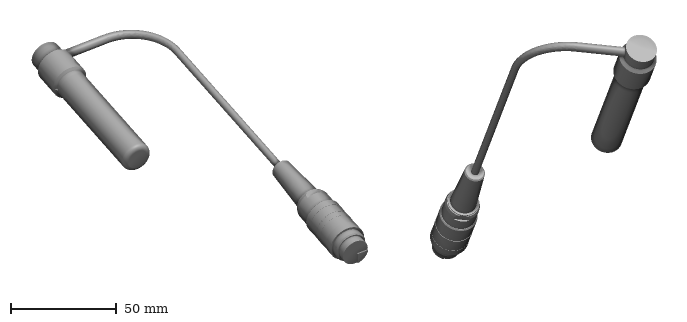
import cadquery as cq
import math

barrel_length = 86.3
barrel_diameter = 15.0
barrel_tip_fillet = 2.4

collar_diameter = 18.0
collar_cone_start = 6.9
collar_start = 8.5
collar_end = 22.8
collar_cone_end = 24.0
collar_blend_end = 26.3
collar_blend_rise = 0.2

indicator_diameter = 1.5
indicator_depth = 1.2

cable_x = 4.7
cable_start_diameter = 4.5
cable_end_diameter = 3.7
cable_bend_radius = 25.0

plug_y = 55.0
boot_start = 126.0
boot_start_diameter = 9.8
boot_end_diameter = 12.8
boot_edge_chamfer = 0.5

shell_start = 153.8
shell_rim_diameter = 15.0
shell_cone_start = 154.5
shell_cone_start_diameter = 15.7
shell_cone_end = 156.2
shell_diameter = 16.9
shell_flat_end = 158.0
shell_flat_spacing = shell_rim_diameter

sleeve_start = 164.8
sleeve_end = 188.0
sleeve_diameter = 18.5
sleeve_edge_chamfer = 0.5
band_diameter = 18.2
rear_band_start = 169.3
front_band_start = 178.1
front_band_end = 183.8
joint_groove_start = 174.6
joint_groove_end = 175.2
joint_groove_diameter = 18.0

nose_diameter = 16.0
nose_end = 191.7
nose_edge_chamfer = 0.5
tip_diameter = 13.5
tip_end = 195.6
key_end = 196.2
key_inset = 1.0


def disc_section(start, end, diameter, y=0.0):
    """Cylinder along X between two stations."""
    return cq.Workplane("YZ", origin=(start, y, 0)).circle(diameter / 2).extrude(end - start)


def cone_section(start, end, start_diameter, end_diameter, y=0.0):
    """Truncated cone along X between two stations."""
    profile = (
        cq.Workplane("XY")
        .moveTo(start, y)
        .lineTo(start, y + start_diameter / 2)
        .lineTo(end, y + end_diameter / 2)
        .lineTo(end, y)
        .close()
    )
    return profile.revolve(360, (start, y, 0), (end, y, 0))


def make_barrel():
    """Barrel and collar, with a concave blend ahead of the collar."""
    barrel = disc_section(0, barrel_length, barrel_diameter).faces(">X").edges().fillet(barrel_tip_fillet)

    barrel_radius = barrel_diameter / 2
    collar_radius = collar_diameter / 2
    collar = (
        cq.Workplane("XY")
        .moveTo(collar_cone_start, 0)
        .lineTo(collar_cone_start, barrel_radius)
        .lineTo(collar_start, collar_radius)
        .lineTo(collar_end, collar_radius)
        .lineTo(collar_cone_end, barrel_radius + collar_blend_rise)
        .threePointArc(
            ((collar_cone_end + collar_blend_end) / 2, barrel_radius + collar_blend_rise / 4),
            (collar_blend_end, barrel_radius),
        )
        .lineTo(collar_blend_end, 0)
        .close()
        .revolve(360, (0, 0, 0), (1, 0, 0))
    )

    indicator_hole = (
        cq.Workplane("XZ", origin=(collar_cone_end, -barrel_radius + indicator_depth, 0))
        .circle(indicator_diameter / 2)
        .extrude(collar_radius)
    )
    return barrel.union(collar).cut(indicator_hole)


def make_cable():
    """Straight lead, tapering quarter bend and straight run into the plug."""
    bend_start_y = plug_y - cable_bend_radius
    bend_end_x = cable_x + cable_bend_radius

    lead = cq.Workplane("XZ").center(cable_x, 0).circle(cable_start_diameter / 2).extrude(-bend_start_y)

    bend_offset = cable_bend_radius * math.cos(math.radians(45))
    bend_path = (
        cq.Workplane("XY")
        .moveTo(cable_x, bend_start_y)
        .threePointArc((bend_end_x - bend_offset, bend_start_y + bend_offset), (bend_end_x, plug_y))
    )
    bend_start_plane = cq.Plane((cable_x, bend_start_y, 0), xDir=(1, 0, 0), normal=(0, 1, 0))
    bend = (
        cq.Workplane(bend_start_plane)
        .circle(cable_start_diameter / 2)
        .transformed(rotate=(0, 90, 0), offset=(cable_bend_radius, 0, cable_bend_radius))
        .circle(cable_end_diameter / 2)
        .sweep(bend_path, multisection=True)
    )

    run = disc_section(bend_end_x, boot_start + boot_edge_chamfer, cable_end_diameter, plug_y)
    return lead.union(bend).union(run)


def make_boot():
    """Tapered strain relief behind the plug."""
    boot = cone_section(boot_start, shell_start, boot_start_diameter, boot_end_diameter, plug_y)
    return boot.faces("<X").edges().chamfer(boot_edge_chamfer)


def make_shell():
    """Rear shell with a narrow rim, a conical shoulder and two wrench flats facing +Z and -Z."""
    rim = disc_section(shell_start, shell_cone_start, shell_rim_diameter, plug_y)
    cone = cone_section(shell_cone_start, shell_cone_end, shell_cone_start_diameter, shell_diameter, plug_y)
    shell = rim.union(cone).union(disc_section(shell_cone_end, sleeve_start, shell_diameter, plug_y))
    for side in (1, -1):
        flat_cut = cq.Workplane("XY").box(
            shell_flat_end - shell_cone_start, shell_diameter, shell_diameter, centered=(False, True, True)
        )
        cut_z = side * (shell_flat_spacing + shell_diameter) / 2
        shell = shell.cut(flat_cut.translate((shell_cone_start, plug_y, cut_z)))
    return shell


def make_sleeve():
    """Locking sleeve with two shallow bands and a joint groove."""
    sleeve = disc_section(sleeve_start, sleeve_end, sleeve_diameter, plug_y)
    sleeve = sleeve.faces("<X").edges().chamfer(sleeve_edge_chamfer)
    recesses = (
        (rear_band_start, joint_groove_start, band_diameter),
        (joint_groove_start, joint_groove_end, joint_groove_diameter),
        (front_band_start, front_band_end, band_diameter),
    )
    for start, end, floor_diameter in recesses:
        outer = disc_section(start, end, 2 * sleeve_diameter, plug_y)
        core = disc_section(start, end, floor_diameter, plug_y)
        sleeve = sleeve.cut(outer.cut(core))
    return sleeve


def make_nose():
    """Stepped front of the plug, with a key on the +Y, -Z quarter of its tip."""
    nose = disc_section(sleeve_end, nose_end, nose_diameter, plug_y)
    nose = nose.faces(">X").edges().chamfer(nose_edge_chamfer)
    tip = disc_section(nose_end, tip_end, tip_diameter, plug_y)
    key_quarter = (
        cq.Workplane("XY")
        .box(key_end - tip_end, tip_diameter, tip_diameter, centered=(False, False, False))
        .translate((tip_end, plug_y + key_inset, -key_inset - tip_diameter))
    )
    key = disc_section(tip_end, key_end, tip_diameter, plug_y).intersect(key_quarter)
    return nose.union(tip).union(key)


result = make_barrel().union(make_cable())
for plug_part in (make_boot(), make_shell(), make_sleeve(), make_nose()):
    result = result.union(plug_part)